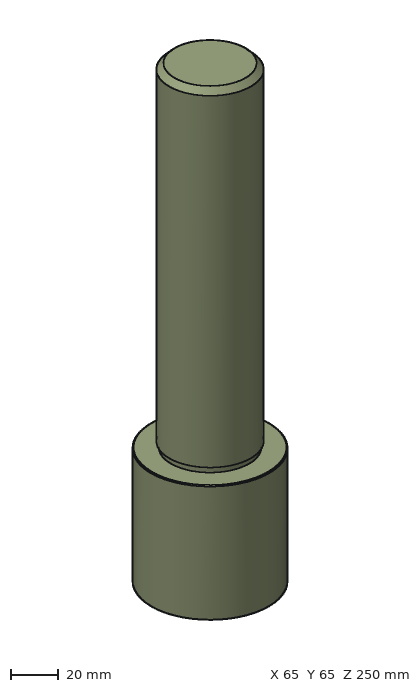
import cadquery as cq

TOTAL_LENGTH = 250.0
HEAD_DIAMETER = 65.0
HEAD_LENGTH = 65.0
HEAD_CHAMFER = 0.5
SHANK_DIAMETER = 45.0
SHANK_TIP_CHAMFER = 3.0
NECK_DIAMETER = 43.0
NECK_LENGTH = 3.0


def make_head():
    """Cylindrical head standing on Z = 0, both rims lightly chamfered."""
    head = cq.Workplane("XY").circle(HEAD_DIAMETER / 2).extrude(HEAD_LENGTH)
    return head.faces("<Z or >Z").chamfer(HEAD_CHAMFER)


def make_neck():
    """Relief groove between the head and the shank."""
    neck = cq.Workplane("XY").workplane(offset=HEAD_LENGTH)
    return neck.circle(NECK_DIAMETER / 2).extrude(NECK_LENGTH)


def make_shank():
    """Long pin above the neck with a chamfered tip."""
    shank_base = HEAD_LENGTH + NECK_LENGTH
    shank_length = TOTAL_LENGTH - shank_base
    shank = cq.Workplane("XY").workplane(offset=shank_base)
    shank = shank.circle(SHANK_DIAMETER / 2).extrude(shank_length)
    return shank.faces(">Z").chamfer(SHANK_TIP_CHAMFER)


result = make_head().union(make_neck()).union(make_shank())